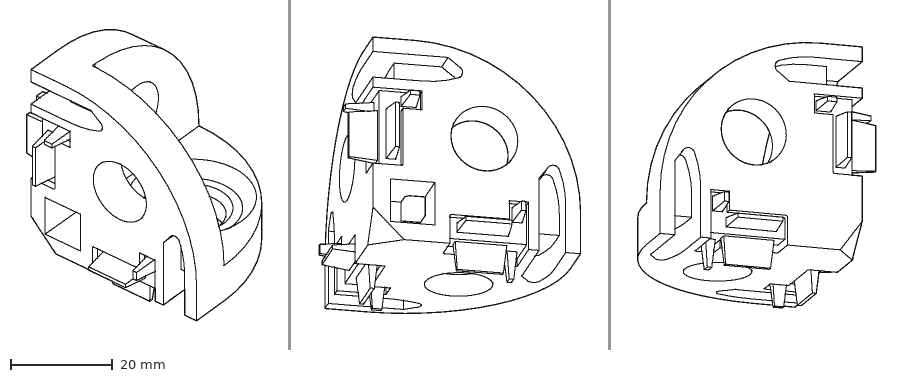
import cadquery as cq
import math


overall = 46.0
pin_reach = 4.0
plate_side = overall - pin_reach
plate_thickness = 8.6
arc_radius = plate_side - plate_thickness
inner_corner_radius = 1.15
corner_cut_x = 6.3
corner_cut_y = 4.6
corner_cut_z = 6.3

hole_center = 22.55
hole_diameter = 13.5
lower_cone_diameter = 16.2
ledge_diameter = 20.0
upper_cone_diameter = 25.45
cone_angle = math.radians(45)

slot_depth = 5.55
slot_low = 33.6
slot_high = 38.95
slot_curve_start = (10.1, slot_low)
slot_curve_end = (17.25, 34.85)
slot_bevel_end = (17.3, 37.3)
slot_bevel_start = (15.2, slot_high)

recess_depth = 1.6
recess_start = 15.55
recess_end = 31.45
recess_width = 6.05
recess_foot_width = 9.95
recess_foot_start = 27.55
recess_corner_radius = 0.35
pin_inset = 0.55
long_pin_size = (1.95, 10.45)
long_pin_center = (4.0, hole_center)
short_pin_size = (3.05, 2.02)
short_pin_center = (7.6, 29.55)

pocket_near = 3.6
pocket_far = 12.5
pocket_lean = 1.0
pocket_depth = 12.5


def on_bottom_plate(shape):
    """Turn a front-plate shape onto the bottom plate."""
    return shape.rotate((0, 0, 0), (1, 1, 1), 120)


def on_left_plate(shape):
    """Turn a front-plate shape onto the left plate."""
    return shape.rotate((0, 0, 0), (1, 1, 1), 240)


def on_three_plates(shape):
    """Join a front-plate shape with its copies on the bottom and left plates."""
    return shape.union(on_bottom_plate(shape)).union(on_left_plate(shape))


def front_plane(depth=0.0):
    """Sketch plane at a depth behind the front face; its axes are X and Z, and it faces -Y."""
    return cq.Workplane("XZ", origin=(0, depth, 0))


def quarter_plate():
    arc_middle = plate_thickness + arc_radius * math.sqrt(0.5)
    return (
        front_plane()
        .lineTo(plate_side, 0)
        .lineTo(plate_side, plate_thickness)
        .threePointArc((arc_middle, arc_middle), (plate_thickness, plate_side))
        .lineTo(0, plate_side)
        .close()
        .extrude(-plate_thickness)
    )


def inner_corner_fillet():
    """Upright concave fillet between the inner faces of the front and left plates."""
    far = plate_thickness + inner_corner_radius
    bulge = far - inner_corner_radius * math.sqrt(0.5)
    return (
        cq.Workplane("XY")
        .moveTo(plate_thickness, plate_thickness)
        .lineTo(far, plate_thickness)
        .threePointArc((bulge, bulge), (plate_thickness, far))
        .close()
        .extrude(plate_side)
    )


def bolt_hole():
    """Plain bore through the front plate."""
    return front_plane().center(hole_center, hole_center).circle(hole_diameter / 2).extrude(-plate_thickness)


def floor_countersink():
    """Opening above the bottom plate's bore: a cone, a flat ledge and a wider cone."""
    slope = math.tan(cone_angle)
    ledge = plate_thickness - (upper_cone_diameter - ledge_diameter) / 2 / slope
    bore_end = ledge - (lower_cone_diameter - hole_diameter) / 2 / slope
    profile = [
        (0, bore_end),
        (hole_diameter / 2, bore_end),
        (lower_cone_diameter / 2, ledge),
        (ledge_diameter / 2, ledge),
        (upper_cone_diameter / 2, plate_thickness),
        (0, plate_thickness),
    ]
    opening = cq.Workplane("XZ").polyline(profile).close().revolve(360, (0, 0), (0, 1))
    return opening.translate((hole_center, hole_center, 0))


def slot(place):
    """Pointed slot; place turns (along, across) into a point of the front plane."""
    return (
        front_plane()
        .moveTo(*place(0, slot_low))
        .lineTo(*place(*slot_curve_start))
        .tangentArcPoint(place(*slot_curve_end), relative=False)
        .tangentArcPoint(place(*slot_bevel_end), relative=False)
        .lineTo(*place(*slot_bevel_start))
        .lineTo(*place(0, slot_high))
        .close()
        .extrude(-slot_depth)
    )


def slot_pair():
    """Slot along X with its curved side inward and slot along Z with its curved side outward."""
    top_slot = slot(lambda along, across: (along, across))
    side_slot = slot(lambda along, across: (slot_low + slot_high - across, along))
    return top_slot.union(side_slot)


def swapped_slot_pair():
    """The slot pair mirrored over the line X = Z."""
    top_slot = slot(lambda along, across: (along, slot_low + slot_high - across))
    side_slot = slot(lambda along, across: (across, along))
    return top_slot.union(side_slot)


def recess(place):
    """L-shaped recess with one rounded corner; place turns (inward, along) into a front-plane point."""
    outline = [
        (0, recess_start),
        (recess_width, recess_start),
        (recess_width, recess_foot_start),
        (recess_foot_width, recess_foot_start),
        (recess_foot_width, recess_end),
        (0, recess_end),
    ]
    block = front_plane().polyline([place(*point) for point in outline]).close().extrude(-recess_depth)
    corner_x, corner_z = place(recess_width, recess_start)
    corner_edge = cq.NearestToPointSelector((corner_x, recess_depth / 2, corner_z))
    return block.edges(corner_edge).fillet(recess_corner_radius)


def recess_pair():
    """Recesses along the left and bottom edges, mirrored over the line X = Z."""
    left_recess = recess(lambda inward, along: (inward, along))
    bottom_recess = recess(lambda inward, along: (along, inward))
    return left_recess.union(bottom_recess)


def pin(center, size):
    """Tapered rectangular pin that rises from the recess floor."""
    length = recess_depth + pin_reach
    taper = math.degrees(math.atan(pin_inset / length))
    return front_plane(recess_depth).center(*center).rect(*size).extrude(length, taper=taper)


def pins():
    """A long and a short pin in each recess of the front plate, mirrored over the line X = Z."""
    group = cq.Workplane("XZ")
    for center, size in ((long_pin_center, long_pin_size), (short_pin_center, short_pin_size)):
        group = group.union(pin(center, size))
        group = group.union(pin(center[::-1], size[::-1]))
    return group


def square_pocket():
    """Pocket in the front face whose left and bottom walls lean in toward its end."""
    mouth_side = pocket_far - pocket_near
    end_side = mouth_side - pocket_lean
    mouth_center = (pocket_near + pocket_far) / 2
    end_shift = pocket_lean / 2
    return (
        front_plane()
        .center(mouth_center, mouth_center)
        .rect(mouth_side, mouth_side)
        .workplane(offset=-pocket_depth)
        .center(end_shift, end_shift)
        .rect(end_side, end_side)
        .loft()
    )


def corner_wedge():
    """Block beyond the slanted plane that cuts off the corner at the origin."""
    along_x = cq.Vector(corner_cut_x, 0, 0)
    along_y = cq.Vector(0, corner_cut_y, 0)
    along_z = cq.Vector(0, 0, corner_cut_z)
    plane_normal = (along_y - along_x).cross(along_z - along_x)
    plane = cq.Plane(origin=along_x, xDir=along_z - along_x, normal=plane_normal)
    block_side = 4 * corner_cut_x
    return cq.Workplane(plane).rect(block_side, block_side).extrude(-corner_cut_x)


bracket = on_three_plates(quarter_plate()).union(inner_corner_fillet())
bracket = bracket.cut(on_three_plates(bolt_hole()))
bracket = bracket.cut(floor_countersink())
bracket = bracket.cut(slot_pair())
bracket = bracket.cut(on_left_plate(slot_pair()))
bracket = bracket.cut(on_bottom_plate(swapped_slot_pair()))
bracket = bracket.cut(on_three_plates(recess_pair()))
bracket = bracket.cut(square_pocket())
bracket = bracket.cut(corner_wedge())
result = bracket.union(on_three_plates(pins()))